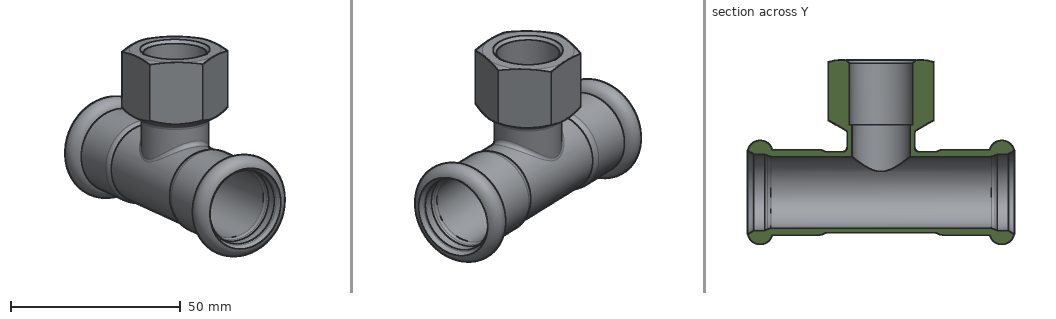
import cadquery as cq
import math

half_length = 39.3
run_radius = 24.0 / 2
socket_radius = 25.3 / 2
bead_radius = 3.8
bead_outer_radius = 15.4
socket_inner_end = 18.3
body_half_length = 16.3
run_bore_radius = 21.0 / 2

mouth_radius = 12.3
entry_radius = 22.9 / 2
entry_depth = 1.5
seat_radius = 22.3 / 2
seat_start = 1.9
seat_end = 5.0
shoulder_radius = 10.85
shoulder_depth = 5.8
bore_start = 6.9

branch_top = 39.0
neck_radius = 20.0 / 2
neck_fillet = 1.3
hex_flat_radius = 27.0 / 2
hex_corner_radius = hex_flat_radius / math.cos(math.pi / 6)
top_chamfer_slope = 0.3
corner_base = 21.2
hex_chamfer_angle = math.radians(30)
cone_base = corner_base - (hex_corner_radius - neck_radius) * math.tan(hex_chamfer_angle)
under_head_fillet = 0.95
thread_radius = 18.6 / 2
thread_mouth_radius = 10.3
thread_mouth_depth = 0.98
thread_end = 20.0
branch_bore_radius = 17.0 / 2


def revolve_about_x(profile):
    return profile.close().revolve(360, (0, 0, 0), (1, 0, 0))


def revolve_about_z(profile):
    return profile.close().revolve(360, (0, 0, 0), (0, 1, 0))


def both_ends(solid):
    """Join a feature of the +X end with its mirror image at the -X end."""
    return solid.union(solid.mirror("YZ"))


def run_outside():
    body = cq.Workplane("YZ").circle(run_radius).extrude(socket_inner_end, both=True)
    bead_center_radius = bead_outer_radius - bead_radius
    mouth_rise = mouth_radius - bead_center_radius
    bead_center_x = half_length - math.sqrt(bead_radius**2 - mouth_rise**2)
    bead_back_x = bead_center_x - bead_radius
    socket = revolve_about_x(
        cq.Workplane("XY")
        .moveTo(bead_center_x, 0)
        .lineTo(bead_center_x, socket_radius)
        .lineTo(socket_inner_end, socket_radius)
        .tangentArcPoint((body_half_length, run_radius), relative=False)
        .lineTo(body_half_length, 0)
    )
    bead = revolve_about_x(
        cq.Workplane("XY")
        .moveTo(bead_back_x, 0)
        .lineTo(bead_back_x, bead_center_radius)
        .threePointArc((bead_center_x, bead_outer_radius), (half_length, mouth_radius))
        .lineTo(half_length, 0)
    )
    return body.union(both_ends(socket.union(bead)))


def neck():
    """Branch neck, blended into the run."""
    run_middle = cq.Workplane("YZ").circle(run_radius).extrude(body_half_length, both=True)
    stem = cq.Workplane("XY").circle(neck_radius).extrude(corner_base)
    reach = run_radius + 0.8
    joint_box = cq.selectors.BoxSelector((-reach, -reach, 0.8), (reach, reach, reach), boundingbox=True)
    return run_middle.union(stem).edges(joint_box).fillet(neck_fillet)


def hexagon_head():
    """Hexagon with conical chamfers above and below, corners on the X axis."""
    prism = (
        cq.Workplane("XY", origin=(0, 0, cone_base))
        .polygon(6, 2 * hex_corner_radius)
        .extrude(branch_top - cone_base)
    )
    top_drop = (hex_corner_radius - hex_flat_radius) * top_chamfer_slope
    envelope = revolve_about_z(
        cq.Workplane("XZ")
        .moveTo(0, cone_base)
        .lineTo(neck_radius, cone_base)
        .lineTo(hex_corner_radius, corner_base)
        .lineTo(hex_corner_radius, branch_top - top_drop)
        .lineTo(hex_flat_radius, branch_top)
        .lineTo(0, branch_top)
    )
    return prism.intersect(envelope)


def under_head_blend():
    """Fillet ring where the lower cone of the head meets the neck."""
    tangent_length = under_head_fillet * math.tan((math.pi / 2 - hex_chamfer_angle) / 2)
    cone_point = (
        neck_radius + tangent_length * math.cos(hex_chamfer_angle),
        cone_base + tangent_length * math.sin(hex_chamfer_angle),
    )
    neck_point = (neck_radius, cone_base - tangent_length)
    middle_angle = math.pi - (math.pi / 2 - hex_chamfer_angle) / 2
    middle_point = (
        neck_radius + under_head_fillet * (1 + math.cos(middle_angle)),
        neck_point[1] + under_head_fillet * math.sin(middle_angle),
    )
    return revolve_about_z(
        cq.Workplane("XZ")
        .moveTo(0, neck_point[1])
        .lineTo(*neck_point)
        .threePointArc(middle_point, cone_point)
        .lineTo(0, cone_point[1])
    )


def run_bore():
    through = cq.Workplane("YZ").circle(run_bore_radius).extrude(half_length, both=True)
    mouth = revolve_about_x(
        cq.Workplane("XY")
        .moveTo(half_length, 0)
        .lineTo(half_length, mouth_radius)
        .lineTo(half_length - entry_depth, entry_radius)
        .lineTo(half_length - seat_start, seat_radius)
        .lineTo(half_length - seat_end, seat_radius)
        .lineTo(half_length - shoulder_depth, shoulder_radius)
        .lineTo(half_length - bore_start, run_bore_radius)
        .lineTo(half_length - bore_start, 0)
    )
    return through.union(both_ends(mouth))


def branch_bore():
    return revolve_about_z(
        cq.Workplane("XZ")
        .lineTo(branch_bore_radius, 0)
        .lineTo(branch_bore_radius, thread_end)
        .lineTo(thread_radius, thread_end)
        .lineTo(thread_radius, branch_top - thread_mouth_depth)
        .lineTo(thread_mouth_radius, branch_top)
        .lineTo(0, branch_top)
    )


outside = run_outside().union(neck()).union(hexagon_head()).union(under_head_blend())
result = outside.cut(run_bore()).cut(branch_bore())